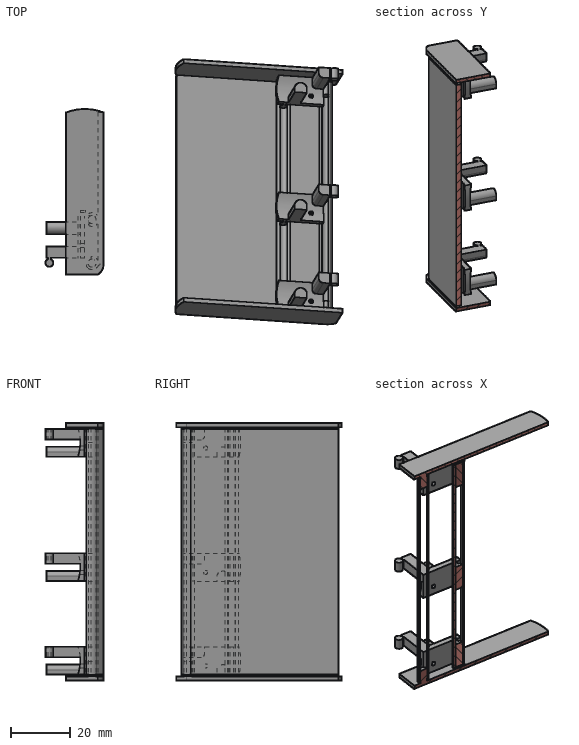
import cadquery as cq
import math

total_height = 86.9
total_width = 19.6
total_depth = 55.9
right_x = total_width / 2
front_y = -total_depth / 2
rear_y = total_depth / 2

cap_thickness = 1.5
cap_width = 12.7
cap_rear_bulge = 1.2
cap_corner_radius = 3.9
cap_corner_length = 3.4
cap_left_x = right_x - cap_width
cap_inner_z = total_height / 2 - cap_thickness

end_gap = 0.5
panel_thickness = 2.0
panel_height = 2 * (cap_inner_z - end_gap)
panel_bottom_z = -panel_height / 2
panel_face_x = right_x - panel_thickness
panel_rear_y = 26.85

pin_diameter = 2.7
pin_radius = pin_diameter / 2
channel_x = 5.8
hinge_wall = 0.825
hinge_y = -24.0
hinge_lip_angles = (90, 212)
hinge_bevel_angle = -45
clip_channel_wall = 0.95
clip_channel_y = -9.3
clip_lip_angles = (110, 250)
peg_length = 5.0

clip_height = 9.5
clip_bottoms = (panel_bottom_z, -9.9, panel_height / 2 - clip_height)
clip_front_y = -22.3
clip_rear_y = -6.9
clip_rear_bulge = 0.6
clip_back_x = 3.3
clip_rear_back_x = 3.65
clip_taper_y = -8.25
clip_face_x = 1.1
clip_hollow = 0.8
clip_tip_x = -9.5
neck_width = 1.0

arm_depth = 3.9
arm_height = 3.65
arm_corner_radius = 1.5
clip_pin_x = right_x - total_width + pin_radius
clip_pin_y = hinge_y

rest_y = -12.25
rest_width = 4.2
rest_side_height = 1.7
rest_crown_height = 1.7

hole_diameter = 1.4
hole_y = -18.1
hole_z = 3.0


def box(x_range, y_range, z_range):
    """Axis-aligned block between the given limits."""
    size = [high - low for low, high in (x_range, y_range, z_range)]
    corner = (x_range[0], y_range[0], z_range[0])
    return cq.Workplane("XY", origin=corner).box(*size, centered=False)


def rod(x, y, bottom_z, height):
    """Upright round rod of the common pin diameter."""
    return cq.Workplane("XY", origin=(x, y, bottom_z)).circle(pin_radius).extrude(height)


def make_snap_channel(center_y, wall, lip_angles):
    """C-shaped channel along Z with round lips."""
    outer_radius = pin_radius + wall
    middle_radius = pin_radius + wall / 2
    start_angle, end_angle = lip_angles
    back_angle = (start_angle + end_angle) / 2 + 180

    def at(radius, angle, past_lip=0.0):
        turn = math.radians(angle)
        x = radius * math.cos(turn) - past_lip * math.sin(turn)
        y = radius * math.sin(turn) + past_lip * math.cos(turn)
        return (channel_x + x, center_y + y)

    start_tip = at(middle_radius, start_angle, wall / 2)
    end_tip = at(middle_radius, end_angle, -wall / 2)
    return (
        cq.Workplane("XY", origin=(0, 0, panel_bottom_z))
        .moveTo(*at(outer_radius, end_angle))
        .threePointArc(at(outer_radius, back_angle), at(outer_radius, start_angle))
        .threePointArc(start_tip, at(pin_radius, start_angle))
        .threePointArc(at(pin_radius, back_angle), at(pin_radius, end_angle))
        .threePointArc(end_tip, at(outer_radius, end_angle))
        .close()
        .extrude(panel_height)
    )


def make_sheet():
    """Flat sheet whose front edge is a bevel that runs off the hinge channel at a tangent."""
    normal = math.radians(hinge_bevel_angle)
    hinge_radius = pin_radius + hinge_wall
    bevel_x = channel_x + hinge_radius * math.cos(normal)
    bevel_y = hinge_y + hinge_radius * math.sin(normal)
    bevel_rise = (right_x - bevel_x) / math.tan(-normal)
    return (
        cq.Workplane("XY", origin=(0, 0, panel_bottom_z))
        .moveTo(bevel_x, bevel_y)
        .lineTo(right_x, bevel_y + bevel_rise)
        .lineTo(right_x, panel_rear_y)
        .lineTo(panel_face_x, panel_rear_y)
        .lineTo(panel_face_x, hinge_y)
        .close()
        .extrude(panel_height)
    )


def make_panel():
    """Panel with a hinge channel along its front edge and a channel that holds the clips."""
    return (
        make_sheet()
        .union(make_snap_channel(hinge_y, hinge_wall, hinge_lip_angles))
        .union(make_snap_channel(clip_channel_y, clip_channel_wall, clip_lip_angles))
    )


def make_top_cap():
    """End plate with a peg below it that plugs into the hinge channel."""
    shoulder_y = rear_y - cap_rear_bulge
    corner_start_y = front_y + cap_corner_length
    corner_inset = cap_corner_radius - math.sqrt(cap_corner_radius**2 - cap_corner_length**2)
    plate = (
        cq.Workplane("XY", origin=(0, 0, cap_inner_z))
        .moveTo(cap_left_x, front_y)
        .lineTo(right_x - corner_inset, front_y)
        .radiusArc((right_x, corner_start_y), -cap_corner_radius)
        .lineTo(right_x, shoulder_y)
        .threePointArc(((cap_left_x + right_x) / 2, rear_y), (cap_left_x, shoulder_y))
        .close()
        .extrude(cap_thickness)
    )
    return plate.union(rod(channel_x, hinge_y, cap_inner_z - peg_length, peg_length))


def make_clip_plate():
    """Back plate of a clip, lower edge at Z = 0, with a hollow face and a bowed rear end."""
    middle_z = clip_height / 2
    rear_limit_y = clip_rear_y + clip_rear_bulge
    plan = (
        cq.Workplane("XY")
        .moveTo(clip_face_x, clip_front_y)
        .lineTo(clip_back_x, clip_front_y)
        .lineTo(clip_back_x, clip_taper_y)
        .lineTo(clip_rear_back_x, clip_rear_y)
        .lineTo(clip_rear_back_x, rear_limit_y)
        .lineTo(clip_face_x, rear_limit_y)
        .close()
        .extrude(clip_height)
    )
    hollow = (
        cq.Workplane("XZ", origin=(0, rear_limit_y, 0))
        .moveTo(clip_face_x, 0)
        .threePointArc((clip_face_x + clip_hollow, middle_z), (clip_face_x, clip_height))
        .close()
        .extrude(rear_limit_y - clip_front_y)
    )
    side_outline = (
        cq.Workplane("YZ", origin=(clip_face_x, 0, 0))
        .moveTo(clip_front_y, 0)
        .lineTo(clip_rear_y, 0)
        .threePointArc((rear_limit_y, middle_z), (clip_rear_y, clip_height))
        .lineTo(clip_front_y, clip_height)
        .close()
        .extrude(clip_rear_back_x - clip_face_x)
    )
    hole = cq.Workplane("YZ").center(hole_y, hole_z).circle(hole_diameter / 2).extrude(clip_back_x)
    return plan.intersect(side_outline).cut(hollow).cut(hole)


def make_clip_arm():
    """Upper arm that reaches out to an upright pin, joined by a thin neck."""
    arm_bottom_z = clip_height - arm_height
    arm = box(
        (clip_tip_x, clip_back_x),
        (clip_front_y, clip_front_y + arm_depth),
        (arm_bottom_z, clip_height),
    )
    arm = arm.edges("|X and >Y and <Z").fillet(arm_corner_radius)
    neck = box(
        (clip_pin_x - neck_width / 2, clip_pin_x + neck_width / 2),
        (clip_pin_y, clip_front_y),
        (arm_bottom_z, clip_height),
    )
    pin = rod(clip_pin_x, clip_pin_y, arm_bottom_z, arm_height)
    return arm.union(neck).union(pin)


def make_clip_rest():
    """Lower finger with a flat underside and a rounded crown."""
    return (
        cq.Workplane("YZ", origin=(clip_tip_x, 0, 0))
        .moveTo(rest_y - rest_width / 2, 0)
        .lineTo(rest_y + rest_width / 2, 0)
        .lineTo(rest_y + rest_width / 2, rest_side_height)
        .threePointArc(
            (rest_y, rest_side_height + rest_crown_height),
            (rest_y - rest_width / 2, rest_side_height),
        )
        .close()
        .extrude(clip_back_x - clip_tip_x)
    )


def make_clip_bead():
    """Round bead on a thin neck that snaps into the panel's clip channel."""
    neck = box(
        (clip_back_x, channel_x),
        (clip_channel_y - neck_width / 2, clip_channel_y + neck_width / 2),
        (0, clip_height),
    )
    return neck.union(rod(channel_x, clip_channel_y, 0, clip_height))


def make_clip(bottom_z):
    """One complete clip with its lower edge at the given height."""
    clip = make_clip_plate().union(make_clip_arm()).union(make_clip_rest()).union(make_clip_bead())
    return clip.translate((0, 0, bottom_z))


panel = make_panel()
top_cap = make_top_cap()
bottom_cap = top_cap.mirror("XY")
clips = [make_clip(bottom_z) for bottom_z in clip_bottoms]

result = cq.Compound.makeCompound(
    [panel.val(), top_cap.val(), bottom_cap.val(), *[clip.val() for clip in clips]]
)